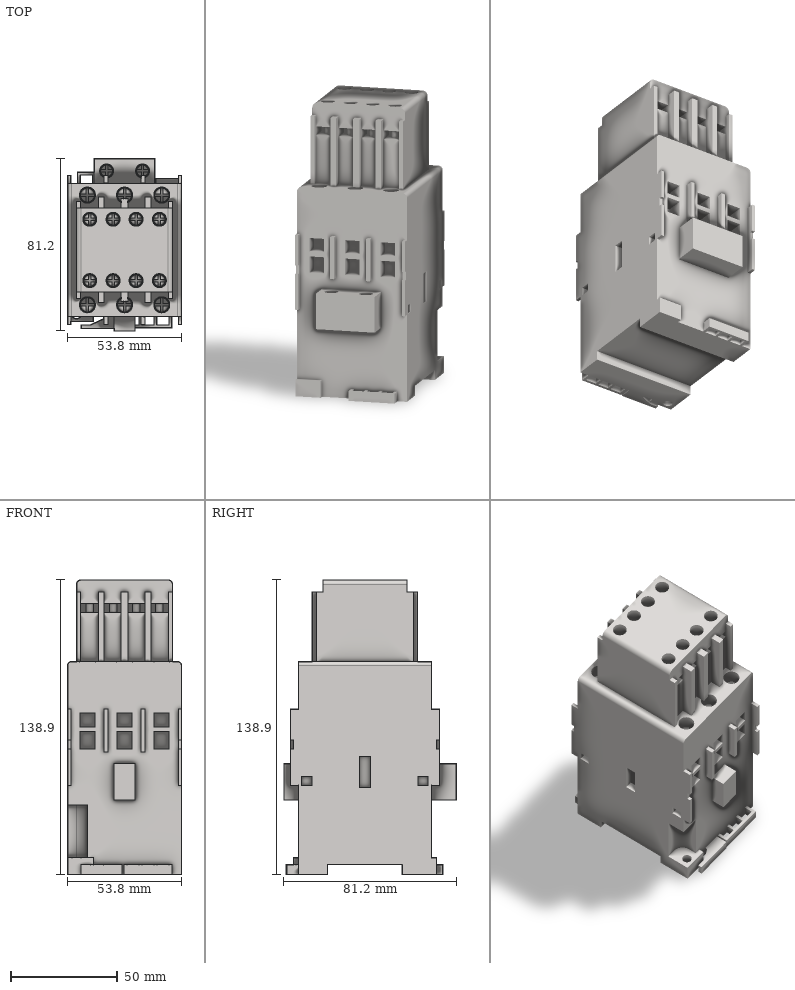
import cadquery as cq


BODY_W, BODY_D, BODY_H = 53.8, 62.8, 100.4
BODY_ROUND = 2.0
CHANNEL_W, CHANNEL_H = 35.1, 4.7

BLOCK_W, BLOCK_D, TOTAL_H = 45.3, 39.7, 138.9
BLOCK_ROUND = 2.2
BLOCK_RIB_TOP = 133.2
END_RIB_W, END_RIB_REACH = 2.0, 22.9
SIDE_RIB_X, SIDE_RIB_W, SIDE_RIB_REACH = 11.0, 2.8, 24.9
MID_RIB_W, MID_RIB_REACH = 3.2, 24.2
WINDOW_BOTTOM, WINDOW_TOP, WINDOW_DEPTH = 123.5, 127.6, 9.0
SHAFT_DIA = 3.5

BLOCK_SCREW = (6.5, 5.5, 9.7, 2.8)
COIL_SCREW = (6.5, 5.5, 9.7, 2.8)
MAIN_SCREW = (7.5, 6.7, 9.7, 2.8)
CROSS_W, CROSS_DEPTH = 1.1, 1.4
BLOCK_SCREW_XS, BLOCK_SCREW_Y = (-16.4, -5.4, 5.4, 16.4), 14.5
MAIN_SCREW_PITCH, MAIN_SCREW_Y = 17.5, 25.8
COIL_SCREW_X, COIL_SCREW_Y = 8.5, 37.2

ENTRY_PITCH, ENTRY_W, ENTRY_DEPTH = 17.4, 7.1, 8.3
ENTRY_HEIGHTS = ((59.3, 67.4), (69.6, 76.3))
EAR_REACH, EAR_T = 35.1, 1.5
EAR_BOTTOM, EAR_TOP = 42.1, 78.0
NOTCH_BOTTOM, NOTCH_TOP, NOTCH_DEPTH = 59.3, 63.5, 1.5
BARRIER_X, BARRIER_W, BARRIER_BOTTOM = 8.8, 2.0, 57.9

COIL_W, COIL_REACH = 28.6, 43.0
BOSS_W, BOSS_REACH = 9.9, 38.2
COIL_BOTTOM, COIL_TOP = 35.1, 52.4

SIDE_SLOT_DEPTH = 3.5
MID_SLOT_W, MID_SLOT_BOTTOM, MID_SLOT_TOP = 5.1, 41.1, 55.7
END_SLOT_Y, END_SLOT_W, END_SLOT_BOTTOM, END_SLOT_TOP = 27.4, 4.9, 42.1, 46.3

FOOT_W, FOOT_REACH, FOOT_H = 12.2, 33.8, 8.0
RECESS_W, RECESS_D, RECESS_TOP, RECESS_R = 9.5, 9.0, 32.8, 5.1
FOOT_HOLE_DIA, FOOT_HOLE_X, FOOT_HOLE_Y = 4.5, -22.6, -30.1

BRACKET_W, BRACKET_REACH, BRACKET_T = 22.5, 36.7, 1.4
BRACKET_INNER_X, LEG_COUNT = -0.3, 4
HOOK_LEFT, HOOK_RIGHT, HOOK_REACH = -20.4, -1.1, 37.1
HOOK_TIP_INNER = 35.3
HOOK_SLOPE_START, HOOK_SLOPE_END = -16.1, -10.0
HOOK_SLOPE_END_Y = 32.5


def block(x0, x1, y0, y1, z0, z1):
    return cq.Workplane("XY").box(x1 - x0, y1 - y0, z1 - z0, centered=False).translate((x0, y0, z0))


def upright(width, depth, z0, z1):
    """Block centred on the Z axis."""
    return block(-width / 2, width / 2, -depth / 2, depth / 2, z0, z1)


def rod(dia, x, y, z0, z1):
    return cq.Workplane("XY", origin=(x, y, z0)).circle(dia / 2).extrude(z1 - z0)


def turned(shape):
    """Half-turn copy about the Z axis."""
    return shape.rotate((0, 0, 0), (0, 0, 1), 180)


def add_screw(part, x, y, top, sizes):
    """Sunk screw: a blind hole with a cross-slotted head standing on its floor."""
    hole_dia, head_dia, depth, head_h = sizes
    floor = top - depth
    head_top = floor + head_h
    head = rod(head_dia, x, y, floor, head_top)
    for size in ((head_dia, CROSS_W), (CROSS_W, head_dia)):
        head = head.cut(upright(*size, head_top - CROSS_DEPTH, head_top).translate((x, y, 0)))
    return part.cut(rod(hole_dia, x, y, floor, top)).union(head)


def main_housing():
    body = upright(BODY_W, BODY_D, 0, BODY_H)
    body = body.faces(">Z").edges("|Y").fillet(BODY_ROUND)
    return body.cut(upright(BODY_W, CHANNEL_W, 0, CHANNEL_H))


def add_auxiliary_block(part):
    aux = upright(BLOCK_W, BLOCK_D, BODY_H, TOTAL_H)
    aux = aux.faces(">Z").edges("|Y").fillet(BLOCK_ROUND)
    for y in (-1, 1):
        slit_y = y * (BLOCK_D - WINDOW_DEPTH) / 2
        slit_w = BLOCK_W - 2 * END_RIB_W
        slit = upright(slit_w, WINDOW_DEPTH, WINDOW_BOTTOM, WINDOW_TOP).translate((0, slit_y, 0))
        aux = aux.cut(slit)
        for x in BLOCK_SCREW_XS:
            aux = aux.union(rod(SHAFT_DIA, x, y * BLOCK_SCREW_Y, WINDOW_BOTTOM, WINDOW_TOP))
    end_x = (BLOCK_W - END_RIB_W) / 2
    ribs = (
        (-end_x, END_RIB_W, END_RIB_REACH),
        (-SIDE_RIB_X, SIDE_RIB_W, SIDE_RIB_REACH),
        (0, MID_RIB_W, MID_RIB_REACH),
        (SIDE_RIB_X, SIDE_RIB_W, SIDE_RIB_REACH),
        (end_x, END_RIB_W, END_RIB_REACH),
    )
    core_d = BLOCK_D - 2 * WINDOW_DEPTH
    for x, width, reach in ribs:
        rib = upright(width, 2 * reach, BODY_H, BLOCK_RIB_TOP)
        rib = rib.cut(upright(width, core_d, BODY_H, BLOCK_RIB_TOP))
        aux = aux.union(rib.translate((x, 0, 0)))
    for x in BLOCK_SCREW_XS:
        for y in (-BLOCK_SCREW_Y, BLOCK_SCREW_Y):
            aux = add_screw(aux, x, y, TOTAL_H, BLOCK_SCREW)
    return part.union(aux)


def add_main_terminals(part):
    for x in (-MAIN_SCREW_PITCH, 0, MAIN_SCREW_PITCH):
        for y in (-MAIN_SCREW_Y, MAIN_SCREW_Y):
            part = add_screw(part, x, y, BODY_H, MAIN_SCREW)
    return part


def cut_wire_entries(part):
    for x in (-ENTRY_PITCH, 0, ENTRY_PITCH):
        for bottom, top in ENTRY_HEIGHTS:
            for side in (-1, 1):
                y = side * (BODY_D - ENTRY_DEPTH) / 2
                part = part.cut(upright(ENTRY_W, ENTRY_DEPTH, bottom, top).translate((x, y, 0)))
    return part


def add_barriers_and_ears(part):
    """Phase barriers and side ears, reaching past the front and back faces."""
    ear = upright(EAR_T, 2 * EAR_REACH, EAR_BOTTOM, EAR_TOP)
    for side in (-1, 1):
        y = side * (EAR_REACH - NOTCH_DEPTH / 2)
        ear = ear.cut(upright(EAR_T, NOTCH_DEPTH, NOTCH_BOTTOM, NOTCH_TOP).translate((0, y, 0)))
    barrier = upright(BARRIER_W, 2 * EAR_REACH, BARRIER_BOTTOM, EAR_TOP)
    ear_x = (BODY_W - EAR_T) / 2
    for side in (-1, 1):
        part = part.union(ear.translate((side * ear_x, 0, 0)))
        part = part.union(barrier.translate((side * BARRIER_X, 0, 0)))
    return part


def add_coil_terminal_and_boss(part):
    coil = block(-COIL_W / 2, COIL_W / 2, 0, COIL_REACH, COIL_BOTTOM, COIL_TOP)
    boss = block(-BOSS_W / 2, BOSS_W / 2, -BOSS_REACH, 0, COIL_BOTTOM, COIL_TOP)
    part = part.union(coil).union(boss)
    for x in (-COIL_SCREW_X, COIL_SCREW_X):
        part = add_screw(part, x, COIL_SCREW_Y, COIL_TOP, COIL_SCREW)
    return part


def cut_side_slots(part):
    slots = (
        (-END_SLOT_Y, END_SLOT_W, END_SLOT_BOTTOM, END_SLOT_TOP),
        (0, MID_SLOT_W, MID_SLOT_BOTTOM, MID_SLOT_TOP),
        (END_SLOT_Y, END_SLOT_W, END_SLOT_BOTTOM, END_SLOT_TOP),
    )
    for side in (-1, 1):
        x = side * (BODY_W - SIDE_SLOT_DEPTH) / 2
        for y, width, bottom, top in slots:
            part = part.cut(upright(SIDE_SLOT_DEPTH, width, bottom, top).translate((x, y, 0)))
    return part


def add_feet(part):
    left = -BODY_W / 2
    front = -BODY_D / 2
    recess = block(left, left + RECESS_W, front, front + RECESS_D, FOOT_H, RECESS_TOP)
    recess = recess.edges("|Z and >X and >Y").fillet(RECESS_R)
    foot = block(left, left + FOOT_W, -FOOT_REACH, front, 0, FOOT_H)
    part = part.cut(recess).union(foot).union(turned(foot))
    return part.cut(rod(FOOT_HOLE_DIA, FOOT_HOLE_X, FOOT_HOLE_Y, 0, FOOT_H))


def add_rail_brackets(part):
    """Comb-shaped brackets on the front right and, half a turn round, the back left."""
    front = -BODY_D / 2
    bar_end = BRACKET_INNER_X + BRACKET_W
    bar_y = -BRACKET_REACH + BRACKET_T
    bracket = block(BRACKET_INNER_X, bar_end, -BRACKET_REACH, bar_y, 0, CHANNEL_H)
    leg_pitch = (BRACKET_W - BRACKET_T) / (LEG_COUNT - 1)
    for i in range(LEG_COUNT):
        x = BRACKET_INNER_X + i * leg_pitch
        bracket = bracket.union(block(x, x + BRACKET_T, bar_y, front, 0, CHANNEL_H))
    return part.union(bracket).union(turned(bracket))


def add_release_hook(part):
    outline = (
        (HOOK_LEFT, -HOOK_REACH),
        (HOOK_RIGHT, -HOOK_REACH),
        (HOOK_RIGHT, -BODY_D / 2),
        (HOOK_SLOPE_END, -BODY_D / 2),
        (HOOK_SLOPE_END, -HOOK_SLOPE_END_Y),
        (HOOK_SLOPE_START, -HOOK_TIP_INNER),
        (HOOK_LEFT, -HOOK_TIP_INNER),
    )
    return part.union(cq.Workplane("XY").polyline(outline).close().extrude(CHANNEL_H))


result = main_housing()
result = add_auxiliary_block(result)
result = add_main_terminals(result)
result = cut_wire_entries(result)
result = add_barriers_and_ears(result)
result = add_coil_terminal_and_boss(result)
result = cut_side_slots(result)
result = add_feet(result)
result = add_rail_brackets(result)
result = add_release_hook(result)